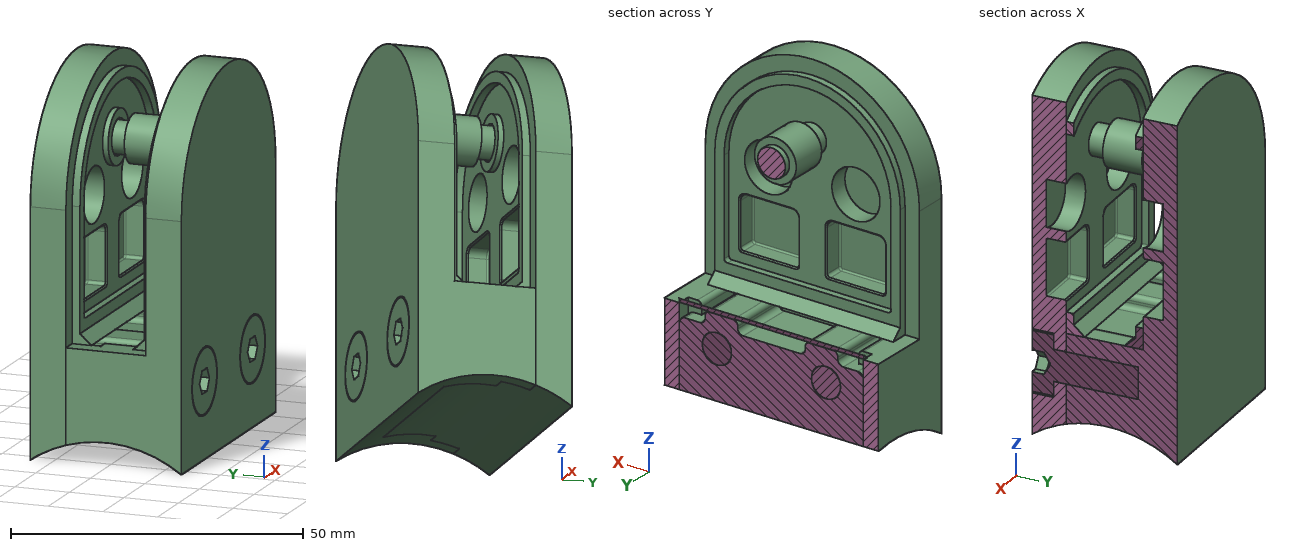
import cadquery as cq
import math

WIDTH = 45.0
DEPTH = 27.7
HEIGHT = 67.4
PLATE_THICKNESS = 6.55
SADDLE_RADIUS = 24.1
FLOOR_Z = 20.5

HALF_WIDTH = WIDTH / 2
HALF_DEPTH = DEPTH / 2
ARC_Z = HEIGHT - HALF_WIDTH
JAW_Y = HALF_DEPTH - PLATE_THICKNESS
SADDLE_AXIS_Z = -math.sqrt(SADDLE_RADIUS**2 - HALF_DEPTH**2)

GASKET_THICKNESS = 1.4
GASKET_INSET = 3.0
GASKET_RIM = 1.95
GASKET_OPENING_Z = 24.5
GASKET_CORNER_RADIUS = 0.7
LIP_REACH = 2.1
LIP_HEIGHT = 1.9

GASKET_RADIUS = HALF_WIDTH - GASKET_INSET
GASKET_FACE_Y = JAW_Y - GASKET_THICKNESS
LIP_TIP_Y = GASKET_FACE_Y - LIP_REACH

POCKET_DEPTH = 3.85
ROUND_POCKET_DIAMETER = 10.1
ROUND_POCKET_X = 9.15
ROUND_POCKET_Z = 44.25
WINDOW_WIDTH = 12.8
WINDOW_HEIGHT = 11.4
WINDOW_X = 9.1
WINDOW_Z = 32.2
WINDOW_TOP_RADIUS = 1.4
WINDOW_BOTTOM_RADIUS = 0.6
WINDOW_BEVEL = 0.3
WINDOW_FLOOR_RADIUS = 0.35

PIN_Z = 52.35
PIN_DIAMETER = 5.9
COLLAR_DIAMETER = 8.75
COLLAR_BACK_Y = 3.6
COLLAR_LENGTH = 7.5
BOSS_DIAMETER = 10.0
BOSS_HEIGHT = 1.0
PIN_HOLE_DIAMETER = 6.6

TONGUE_HALF_WIDTH = 16.5
SHOULDER_HALF_WIDTH = 19.3
SHOULDER_FRONT_Y = 2.15
TONGUE_TOP_Z = 17.9
SHOULDER_ROUND = 1.15
WALL_ROUND = 0.95
RIB_X = 10.5
RIB_WIDTH = 6.95
RIB_ROOT_RADIUS = 1.1
RIB_CREST_RADIUS = 1.0

SCREW_X = 11.45
SCREW_Z = 13.9
HEAD_BORE_DIAMETER = 12.05
HEAD_DIAMETER = 11.65
HEAD_HEIGHT = 4.05
SHANK_DIAMETER = 6.0
SHANK_LENGTH = 16.2
HEX_ACROSS_CORNERS = 4.7
HEX_DEPTH = 2.0
HEX_CONE_DEPTH = 1.4

HEAD_BACK_Y = HEAD_HEIGHT - HALF_DEPTH
SCREW_TIP_Y = HEAD_BACK_Y + SHANK_LENGTH


def cylinder_y(diameter, x, z, front_y, length):
    """Cylinder along Y that starts at front_y and grows toward +Y."""
    start = cq.Vector(x, front_y, z)
    return cq.Workplane(cq.Solid.makeCylinder(diameter / 2, length, start, cq.Vector(0, 1, 0)))


def block(half_width, front_y, back_y, bottom_z, top_z):
    """Box centred on X = 0."""
    corner = (-half_width, front_y, bottom_z)
    solid = cq.Workplane().box(2 * half_width, back_y - front_y, top_z - bottom_z, centered=False)
    return solid.translate(corner)


def arch(radius, bottom_z, front_y, back_y):
    """Upright slab with straight sides and a half-round top about the arc centre."""
    return (
        cq.Workplane("XZ", origin=(0, back_y, 0))
        .moveTo(-radius, bottom_z)
        .lineTo(-radius, ARC_Z)
        .threePointArc((0, ARC_Z + radius), (radius, ARC_Z))
        .lineTo(radius, bottom_z)
        .close()
        .extrude(back_y - front_y)
    )


def mirrored(body):
    """Mirror image of a back-jaw body, placed at the front jaw."""
    return body.mirror("XZ")


def jaw_plate():
    """Plain plate of the back jaw."""
    return arch(HALF_WIDTH, 0, JAW_Y, HALF_DEPTH)


def saddle():
    """Round cut along X that fits the underside to a tube."""
    plane = cq.Workplane("YZ", origin=(-HALF_WIDTH, 0, SADDLE_AXIS_Z))
    return plane.circle(SADDLE_RADIUS).extrude(WIDTH)


def window_pocket(x):
    """Window pocket with a bevelled mouth and a rounded floor edge."""
    outline = (
        cq.Sketch()
        .rect(WINDOW_WIDTH - 2 * WINDOW_BEVEL, WINDOW_HEIGHT - 2 * WINDOW_BEVEL)
        .vertices(">Y")
        .fillet(WINDOW_TOP_RADIUS)
        .reset()
        .vertices("<Y")
        .fillet(WINDOW_BOTTOM_RADIUS)
    )
    pocket = (
        cq.Workplane("XZ", origin=(x, JAW_Y + POCKET_DEPTH, WINDOW_Z))
        .placeSketch(outline)
        .extrude(POCKET_DEPTH)
        .faces(">Y")
        .edges()
        .fillet(WINDOW_FLOOR_RADIUS)
    )
    mouth = (
        cq.Workplane("XZ", origin=(x, JAW_Y + WINDOW_BEVEL, WINDOW_Z))
        .placeSketch(outline)
        .extrude(WINDOW_BEVEL, taper=-45)
    )
    return pocket.union(mouth)


def cut_back_jaw_pockets(body):
    """Cut both round pockets and both windows behind the face of the back jaw."""
    for side in (-1, 1):
        round_x = side * ROUND_POCKET_X
        body = body.cut(cylinder_y(ROUND_POCKET_DIAMETER, round_x, ROUND_POCKET_Z, JAW_Y, POCKET_DEPTH))
        body = body.cut(window_pocket(side * WINDOW_X))
    return body


def tongue_space():
    """Channel in the housing: narrow at the front and wider at the shoulders."""
    narrow = block(TONGUE_HALF_WIDTH, -JAW_Y, JAW_Y, 0, FLOOR_Z)
    shoulder = block(SHOULDER_HALF_WIDTH, SHOULDER_FRONT_Y, JAW_Y, 0, FLOOR_Z)
    return narrow.union(shoulder)


def wall_rounds():
    """Material removed to round the upper inner edges of the housing side walls."""
    round_start_x = TONGUE_HALF_WIDTH + WALL_ROUND
    round_axis_z = FLOOR_Z - WALL_ROUND
    wall_length = SHOULDER_FRONT_Y + JAW_Y
    strip = block(round_start_x, -JAW_Y, SHOULDER_FRONT_Y, round_axis_z, FLOOR_Z)
    for side in (-1, 1):
        axis_x = side * round_start_x
        strip = strip.cut(cylinder_y(2 * WALL_ROUND, axis_x, round_axis_z, -JAW_Y, wall_length))
    return strip


def pin():
    """Safety pin with a thicker collar between the gaskets."""
    shaft = cylinder_y(PIN_DIAMETER, 0, PIN_Z, -JAW_Y, 2 * JAW_Y + POCKET_DEPTH)
    collar = cylinder_y(COLLAR_DIAMETER, 0, PIN_Z, COLLAR_BACK_Y - COLLAR_LENGTH, COLLAR_LENGTH)
    return shaft.union(collar)


def make_housing():
    """Front jaw plate, side walls and safety pin."""
    jaw = mirrored(cut_back_jaw_pockets(jaw_plate()))
    walls = block(HALF_WIDTH, -JAW_Y, JAW_Y, 0, FLOOR_Z).cut(tongue_space()).cut(wall_rounds())
    body = jaw.union(walls).cut(saddle()).union(pin())
    for side in (-1, 1):
        body = body.cut(cylinder_y(HEAD_BORE_DIAMETER, side * SCREW_X, SCREW_Z, -HALF_DEPTH, HEAD_HEIGHT))
        body = body.cut(cylinder_y(SHANK_DIAMETER, side * SCREW_X, SCREW_Z, -HALF_DEPTH, PLATE_THICKNESS))
    return body


def rib(x):
    """Raised rib along the tongue, with filleted roots and rounded crests."""
    root = RIB_WIDTH / 2 + RIB_ROOT_RADIUS
    half = RIB_WIDTH / 2
    crest = half - RIB_CREST_RADIUS
    root_z = TONGUE_TOP_Z + RIB_ROOT_RADIUS
    crest_z = FLOOR_Z - RIB_CREST_RADIUS
    diagonal = math.sqrt(0.5)
    root_x = root - RIB_ROOT_RADIUS * diagonal
    crest_x = crest + RIB_CREST_RADIUS * diagonal
    root_mid_z = root_z - RIB_ROOT_RADIUS * diagonal
    crest_mid_z = crest_z + RIB_CREST_RADIUS * diagonal
    return (
        cq.Workplane("XZ", origin=(x, JAW_Y, 0))
        .moveTo(-root, TONGUE_TOP_Z)
        .threePointArc((-root_x, root_mid_z), (-half, root_z))
        .lineTo(-half, crest_z)
        .threePointArc((-crest_x, crest_mid_z), (-crest, FLOOR_Z))
        .lineTo(crest, FLOOR_Z)
        .threePointArc((crest_x, crest_mid_z), (half, crest_z))
        .lineTo(half, root_z)
        .threePointArc((root_x, root_mid_z), (root, TONGUE_TOP_Z))
        .close()
        .extrude(2 * JAW_Y)
    )


def tongue():
    """Ribbed tongue of the cover, with shoulders whose upper edges are rounded."""
    shoulder = block(SHOULDER_HALF_WIDTH, SHOULDER_FRONT_Y, JAW_Y, 0, TONGUE_TOP_Z)
    shoulder = shoulder.edges("|Y and >Z").fillet(SHOULDER_ROUND)
    body = block(TONGUE_HALF_WIDTH, -JAW_Y, JAW_Y, 0, TONGUE_TOP_Z).union(shoulder)
    for side in (-1, 1):
        body = body.union(rib(side * RIB_X))
    return body


def make_cover():
    """Back jaw plate with its tongue and pin boss."""
    body = jaw_plate().union(tongue())
    body = body.union(cylinder_y(BOSS_DIAMETER, 0, PIN_Z, JAW_Y - BOSS_HEIGHT, BOSS_HEIGHT))
    body = body.cut(cylinder_y(PIN_HOLE_DIAMETER, 0, PIN_Z, JAW_Y - BOSS_HEIGHT, BOSS_HEIGHT + POCKET_DEPTH))
    body = cut_back_jaw_pockets(body.cut(saddle()))
    for side in (-1, 1):
        body = body.cut(cylinder_y(SHANK_DIAMETER, side * SCREW_X, SCREW_Z, -JAW_Y, SCREW_TIP_Y + JAW_Y))
    return body


def make_gasket():
    """Gasket of the back jaw."""
    frame = arch(GASKET_RADIUS, FLOOR_Z, GASKET_FACE_Y, JAW_Y)
    opening = arch(GASKET_RADIUS - GASKET_RIM, GASKET_OPENING_Z, GASKET_FACE_Y, JAW_Y)
    frame = frame.cut(opening.edges("|Y and <Z").fillet(GASKET_CORNER_RADIUS))
    lip = (
        cq.Workplane("YZ", origin=(-GASKET_RADIUS, 0, 0))
        .moveTo(GASKET_FACE_Y, FLOOR_Z)
        .lineTo(LIP_TIP_Y, FLOOR_Z)
        .lineTo(GASKET_FACE_Y, FLOOR_Z + LIP_HEIGHT)
        .close()
        .extrude(2 * GASKET_RADIUS)
    )
    return frame.union(lip)


def hex_socket(x):
    """Hexagonal hole whose floor is a cone."""
    depth = HEX_DEPTH + HEX_CONE_DEPTH
    hexagon = (
        cq.Workplane("XZ", origin=(x, depth - HALF_DEPTH, SCREW_Z)).polygon(6, HEX_ACROSS_CORNERS).extrude(depth)
    )
    cone_start = cq.Vector(x, HEX_DEPTH - HALF_DEPTH, SCREW_Z)
    cone = cq.Solid.makeCone(HEX_ACROSS_CORNERS / 2, 0, HEX_CONE_DEPTH, cone_start, cq.Vector(0, 1, 0))
    envelope = cylinder_y(HEX_ACROSS_CORNERS, x, SCREW_Z, -HALF_DEPTH, HEX_DEPTH).union(cq.Workplane(cone))
    return hexagon.intersect(envelope)


def make_screw(x):
    """Cylinder-head screw with a hexagon socket that ends in a cone."""
    head = cylinder_y(HEAD_DIAMETER, x, SCREW_Z, -HALF_DEPTH, HEAD_HEIGHT)
    shank = cylinder_y(SHANK_DIAMETER, x, SCREW_Z, HEAD_BACK_Y, SHANK_LENGTH)
    return head.union(shank).cut(hex_socket(x))


housing = make_housing()
cover = make_cover()
back_gasket = make_gasket()
front_gasket = mirrored(back_gasket)
screws = [make_screw(side * SCREW_X) for side in (-1, 1)]

result = cq.Compound.makeCompound(
    [
        housing.val(),
        cover.val(),
        back_gasket.val(),
        front_gasket.val(),
        *[screw.val() for screw in screws],
    ]
)